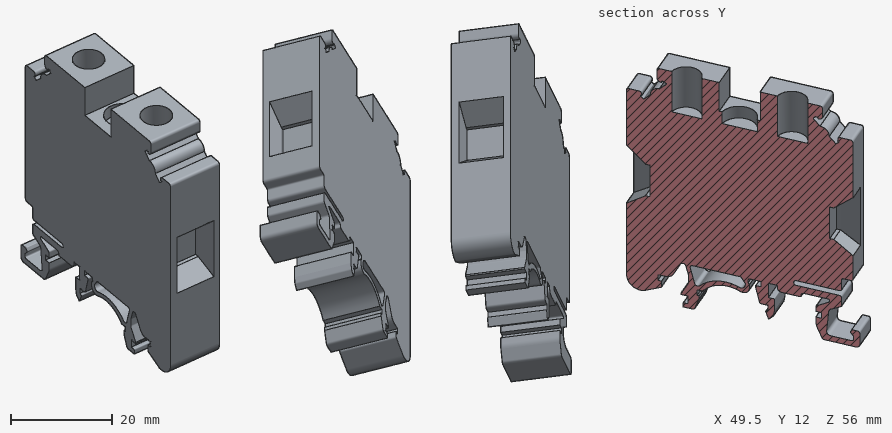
import cadquery as cq
import math

LENGTH = 49.5
WIDTH = 12.0
HEIGHT = 56.0

BODY_LEFT = 1.45
CENTRE_X = (BODY_LEFT + LENGTH) / 2
SHOULDER_Z = 49.5
TOWER_HALF = 17.6
GAP_HALF = 4.3
GAP_FLOOR_Z = 49.1
EDGE_RADIUS = 0.6
TOWER_EDGE_Z = 52.7
TOWER_EDGE_RADIUS = 0.85
BEAD_LEFT = 6.5
BEAD_TOP_Z = 51.1
BEAD_RADIUS = 1.9

CLAMP_HOLE_DIA = 6.4
CLAMP_HOLE_OFFSET = 11.2
CENTRE_HOLE_DIA = 7.4
HOLE_FLOOR_Z = 46.3

ENTRY_MOUTH_WIDTH = 8.95
ENTRY_MOUTH_Z = (21.85, 35.7)
ENTRY_MOUTH_Y = 0.1
ENTRY_THROAT_WIDTH = 7.7
ENTRY_THROAT_Z = (24.7, 32.15)
ENTRY_THROAT_Y = -0.1
ENTRY_TAPER_DEPTH = 4.1
ENTRY_THROAT_DEPTH = 0.85

STEP_Z = 15.7
SLOT_TOP_Z = 12.6
SLOT_BOTTOM_Z = 11.6
SLOT_END = 14.0
GROOVE_Z = (5.1, 6.3)
SEAT_Z = 10.4
ARM_BOTTOM_Z = 9.95
ARM_LEFT = 3.85

HOOK_TOP_Z = 4.05
HOOK_FLOOR_Z = 1.4
HOOK_WALL = 1.4
STEM_LEFT = 6.55
STEM_RIGHT = 9.35
STEM_TOP_Z = 7.45
WEB_THICKNESS = 1.0
WEB_RADIUS = 2.5

LATCH_LIP_Z = 5.1
LATCH_LEDGE_Z = 7.1
ARM_PAD_Z = 8.95

SPRING_THICKNESS = 0.95
SPRING_LEFT = 23.4
ARCH_RADIUS = 6.65
BOWL_RADIUS = 1.45


def rounded_outline(corners):
    """Closed XZ outline through (x, z, radius) corners, each rounded by its radius."""
    outline = None
    count = len(corners)
    for i, (x, z, radius) in enumerate(corners):
        corner = cq.Vector(x, z)
        to_last = (cq.Vector(*corners[i - 1][:2]) - corner).normalized()
        to_next = (cq.Vector(*corners[(i + 1) % count][:2]) - corner).normalized()
        half_angle = to_last.getAngle(to_next) / 2
        reach = radius / math.tan(half_angle)
        start = corner + to_last * reach
        end = corner + to_next * reach
        if outline is None:
            outline = cq.Workplane("XZ").moveTo(start.x, start.y)
        else:
            outline = outline.lineTo(start.x, start.y)
        if radius > 0:
            bisector = (to_last + to_next).normalized()
            middle = corner + bisector * (radius / math.sin(half_angle) - radius)
            outline = outline.threePointArc((middle.x, middle.y), (end.x, end.y))
    return outline.close()


def extrude_outline(corners, thickness=WIDTH):
    """Plate of the given thickness whose +Y face lies on the +Y side of the part."""
    plate = rounded_outline(corners).extrude(thickness)
    return plate.translate((0, WIDTH / 2, 0))


def mirrored(corners):
    """The same corners on the other side of the centre line, in reverse order."""
    return [(2 * CENTRE_X - x, z, radius) for x, z, radius in reversed(corners)]


tower_left = CENTRE_X - TOWER_HALF
upper_left = [
    (BODY_LEFT, SHOULDER_Z, EDGE_RADIUS),
    (4.75, SHOULDER_Z, EDGE_RADIUS),
    (4.75, 48.55, 0),
    (4.4, 48.4, 0),
    (5.1, 47.75, 0.1),
    (BEAD_LEFT, 49.15, 0),
    (BEAD_LEFT, BEAD_TOP_Z, BEAD_RADIUS),
    (8.45, BEAD_TOP_Z, 0),
    (9.9, 52.6, 0.1),
    (9.45, 53.05, 0),
    (9.0, 53.05, 0),
    (8.9, TOWER_EDGE_Z, 0.15),
    (tower_left, TOWER_EDGE_Z, TOWER_EDGE_RADIUS),
    (tower_left, HEIGHT, EDGE_RADIUS),
    (CENTRE_X - GAP_HALF, HEIGHT, 0),
    (CENTRE_X - GAP_HALF, GAP_FLOOR_Z, 0),
]

right_foot = [
    (LENGTH, 1.6, 3.0),
    (46.0, 1.6, 1.1),
    (42.0, 3.5, 0.45),
    (42.0, GROOVE_Z[0], 0),
    (42.8, GROOVE_Z[0], 0),
    (42.8, GROOVE_Z[1], 0),
    (40.05, GROOVE_Z[1], 1.95),
    (37.85, SEAT_Z, 0.45),
    (37.1, SEAT_Z, 0.35),
]

spring_leg = [
    (36.35, 7.85, 0.55),
    (36.35, 6.15, 0.55),
    (37.95, 3.2, 0),
    (37.95, 2.85, 0),
    (36.5, 2.85, 0),
    (36.5, 1.1, 0),
    (37.5, 1.1, 0.3),
    (37.5, 0, 0),
    (35.1, 0, 0.55),
    (34.05, 2.9, 0),
    (34.05, 3.7, 0),
    (34.45, 3.7, 0),
    (34.45, 4.9, 0),
    (33.3, 4.9, 0),
    (30.1, 8.9, ARCH_RADIUS),
    (SPRING_LEFT, 6.05, BOWL_RADIUS),
    (SPRING_LEFT, 9.1, 0),
    (23.7, 9.5, 0),
    (23.7, SEAT_Z, 0.35),
]

latch = [
    (21.0, SEAT_Z, 0),
    (21.0, 9.3, 0),
    (22.3, 9.3, 0.35),
    (21.3, LATCH_LIP_Z, 0.55),
    (19.6, LATCH_LIP_Z, 0),
    (19.6, 4.0, 0),
    (20.05, 3.5, 0.15),
    (19.4, 1.8, 0.1),
    (18.35, 2.8, 0.55),
    (18.1, 4.2, 0),
    (18.1, LATCH_LEDGE_Z, 0.2),
    (19.4, LATCH_LEDGE_Z, 0),
    (19.4, SEAT_Z, 0),
]

hook_foot = [
    (17.6, SEAT_Z, 0),
    (17.6, ARM_PAD_Z, 1.0),
    (12.55, ARM_PAD_Z, 0.2),
    (12.4, ARM_BOTTOM_Z, 0.5),
    (5.6, ARM_BOTTOM_Z, 0.35),
    (STEM_RIGHT, 7.7, 0.35),
    (STEM_RIGHT, GROOVE_Z[1], 0),
    (8.2, GROOVE_Z[1], 0),
    (8.2, GROOVE_Z[0], 0),
    (STEM_RIGHT, GROOVE_Z[0], 0),
    (STEM_RIGHT, 3.1, 2.25),
    (7.95, 0, 0.7),
    (0, 0, 0.95),
    (0, HOOK_TOP_Z, 0.55),
    (1.7, HOOK_TOP_Z, 0.2),
    (2.1, 3.3, 0.2),
    (HOOK_WALL, 2.45, 0.15),
    (HOOK_WALL, HOOK_FLOOR_Z, 0.35),
    (7.1, HOOK_FLOOR_Z, 0.8),
    (STEM_LEFT, STEM_TOP_Z, 0.55),
    (ARM_LEFT, 8.95, 0.55),
    (ARM_LEFT, SLOT_BOTTOM_Z, EDGE_RADIUS),
    (SLOT_END, SLOT_BOTTOM_Z, 0.45),
    (SLOT_END, SLOT_TOP_Z, 0.45),
    (ARM_LEFT, SLOT_TOP_Z, EDGE_RADIUS),
    (ARM_LEFT, STEP_Z, 0.35),
    (BODY_LEFT, STEP_Z, EDGE_RADIUS),
]

spring_opening = [
    (25.25, SEAT_Z, 0.35),
    (36.05, SEAT_Z, 0.45),
    (34.7, 5.3, 0.6),
    (30.75, 9.4, ARCH_RADIUS + SPRING_THICKNESS),
    (SPRING_LEFT + SPRING_THICKNESS, 7.6, 0.9),
    (SPRING_LEFT + SPRING_THICKNESS, 9.1, 0.15),
]

web_foot_z = HOOK_FLOOR_Z / 2
stem_middle = (STEM_LEFT + STEM_RIGHT) / 2
hook_web = [
    (HOOK_WALL / 2, web_foot_z, 0),
    (HOOK_WALL / 2, HOOK_TOP_Z, 0),
    (STEM_LEFT, HOOK_TOP_Z, WEB_RADIUS),
    (STEM_LEFT, STEM_TOP_Z, 0),
    (stem_middle, STEM_TOP_Z, 0),
    (stem_middle, web_foot_z, 0),
]


def screw_hole(x, diameter, top_z):
    """Blind round hole from top_z down to the common hole floor."""
    hole = cq.Workplane("XY", origin=(x, 0, HOLE_FLOOR_Z))
    return hole.circle(diameter / 2).extrude(top_z - HOLE_FLOOR_Z)


def entry_section(depth, width, y, z_range):
    """Rectangle parallel to the left wall, at the given depth behind it."""
    z_low, z_high = z_range
    plane = cq.Workplane("YZ", origin=(BODY_LEFT + depth, y, (z_low + z_high) / 2))
    return plane.rect(width, z_high - z_low)


def wire_entry():
    """Tapered mouth and short straight throat of the left wire entry."""
    mouth = entry_section(0, ENTRY_MOUTH_WIDTH, ENTRY_MOUTH_Y, ENTRY_MOUTH_Z).val()
    throat = entry_section(ENTRY_TAPER_DEPTH, ENTRY_THROAT_WIDTH, ENTRY_THROAT_Y, ENTRY_THROAT_Z)
    taper = cq.Solid.makeLoft([mouth, throat.val()], True)
    return throat.extrude(ENTRY_THROAT_DEPTH).union(cq.Workplane(taper))


housing = upper_left + mirrored(upper_left) + right_foot + spring_leg + latch + hook_foot
result = extrude_outline(housing).cut(extrude_outline(spring_opening))
result = result.union(extrude_outline(hook_web, WEB_THICKNESS))

for side in (-1, 1):
    result = result.cut(screw_hole(CENTRE_X + side * CLAMP_HOLE_OFFSET, CLAMP_HOLE_DIA, HEIGHT))
result = result.cut(screw_hole(CENTRE_X, CENTRE_HOLE_DIA, GAP_FLOOR_Z))

left_entry = wire_entry()
right_entry = left_entry.mirror("YZ", (CENTRE_X, 0, 0))
result = result.cut(left_entry).cut(right_entry)